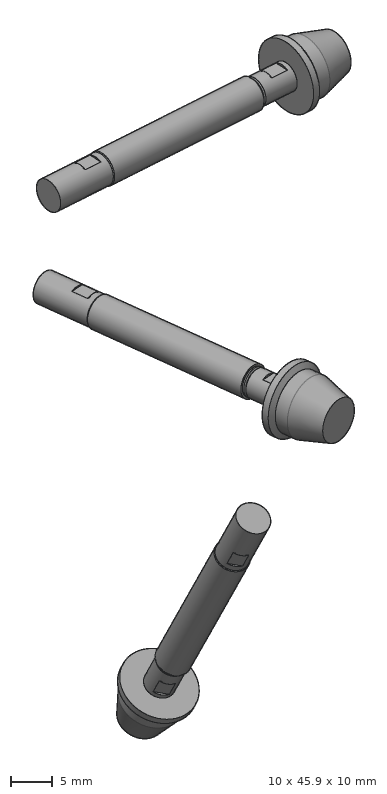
import cadquery as cq

TOTAL_LENGTH = 45.9
CONE_LENGTH = 4.5
HEAD_LENGTH = 1.9
FLANGE_BEVEL_LENGTH = 0.45
FLANGE_RIM_LENGTH = 0.95
NECK_LENGTH = 5.0
GROOVE_WIDTH = 0.3
COLLAR_LENGTH = 0.25
TAIL_LENGTH = 8.45
BODY_END_CHAMFER = 0.15

TIP_RADIUS = 3.0
HEAD_RADIUS = 4.2
FLANGE_RADIUS = 5.0
NECK_RADIUS = 2.0
GROOVE_DEPTH = 0.2
BODY_RADIUS = 2.3
TAIL_RADIUS = 2.2

FLAT_LENGTH = 2.5
NECK_FLAT_HEIGHT = 1.75
NECK_FLAT_GAP = 0.7
TAIL_FLAT_HEIGHT = 1.97
TAIL_FLAT_GAP = 0.9

head_top = TOTAL_LENGTH - CONE_LENGTH
head_bottom = head_top - HEAD_LENGTH
rim_top = head_bottom - FLANGE_BEVEL_LENGTH
flange_seat = rim_top - FLANGE_RIM_LENGTH
neck_end = flange_seat - NECK_LENGTH
groove_end = neck_end - GROOVE_WIDTH
body_top = groove_end - COLLAR_LENGTH


def turned_body():
    """Solid of revolution about Y: cone head, flange, neck with V groove, body and tail."""
    profile = [
        (0, 0),
        (TAIL_RADIUS, 0),
        (TAIL_RADIUS, TAIL_LENGTH),
        (BODY_RADIUS, TAIL_LENGTH + BODY_END_CHAMFER),
        (BODY_RADIUS, body_top),
        (NECK_RADIUS, body_top),
        (NECK_RADIUS, groove_end),
        (NECK_RADIUS - GROOVE_DEPTH, (groove_end + neck_end) / 2),
        (NECK_RADIUS, neck_end),
        (NECK_RADIUS, flange_seat),
        (FLANGE_RADIUS, flange_seat),
        (FLANGE_RADIUS, rim_top),
        (HEAD_RADIUS, head_bottom),
        (HEAD_RADIUS, head_top),
        (TIP_RADIUS, TOTAL_LENGTH),
        (0, TOTAL_LENGTH),
    ]
    return cq.Workplane("ZY").polyline(profile).close().revolve(360, (0, 0, 0), (0, 1, 0))


def cut_flats(part, upper_end, height):
    """Cut two opposite flats, facing +Z and -Z, at the given height from the axis."""
    block_size = 2 * BODY_RADIUS
    for side in (1, -1):
        block = cq.Workplane("XY").box(block_size, FLAT_LENGTH, block_size)
        offset_z = side * (height + block_size / 2)
        part = part.cut(block.translate((0, upper_end - FLAT_LENGTH / 2, offset_z)))
    return part


pin = turned_body()
pin = cut_flats(pin, flange_seat - NECK_FLAT_GAP, NECK_FLAT_HEIGHT)
result = cut_flats(pin, TAIL_LENGTH - TAIL_FLAT_GAP, TAIL_FLAT_HEIGHT)